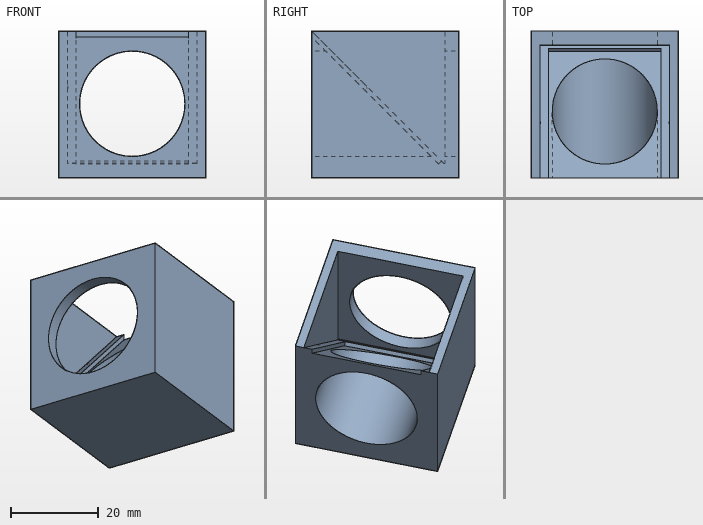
import cadquery as cq

width = 33.6
depth = 33.6
height = 33.5

side_wall = 2.0
back_wall = 3.2
opening_width = width - 2 * side_wall
opening_end = depth - back_wall
seat_lip = 0.17

recess_width = 25.65
recess_drop = 1.35
recess_end = 29.65

pit_width = 0.17
pit_length = 0.35
pit_depth = 0.17
pit_center = 12.67

bore_diameter = 24.0
bore_height = 16.95


def prism_along_x(outline, prism_width):
    """Extrude a Y-Z outline symmetrically about X = 0."""
    return cq.Workplane("YZ").polyline(outline).close().extrude(prism_width / 2, both=True)


def opening():
    """Space between the sloped seat and the back wall, with a stop face square to the slope."""
    seat_end = opening_end - seat_lip
    seat_foot = height - seat_end
    outline = [
        (0, height),
        (opening_end, height),
        (opening_end, seat_foot + seat_lip),
        (seat_end, seat_foot),
    ]
    return prism_along_x(outline, opening_width)


def seat_recess():
    """Parallel recess whose rear end is square to the slope."""
    end_run = recess_drop / 2
    floor_end = recess_end - end_run
    outline = [
        (0, height),
        (recess_end, height - recess_end),
        (floor_end, height - recess_drop - floor_end),
        (0, height - recess_drop),
    ]
    return prism_along_x(outline, recess_width)


def seat_pits():
    """Mirrored pair of pits sunk vertically into the seat."""
    seat_height = height - pit_center
    pit_offset = (opening_width - pit_width) / 2
    return (
        cq.Workplane("XY", origin=(0, pit_center, seat_height))
        .pushPoints([(-pit_offset, 0), (pit_offset, 0)])
        .box(pit_width, pit_length, 2 * (pit_depth + pit_length / 2))
    )


def bore():
    """Straight bore running the full depth."""
    return (
        cq.Workplane("XZ")
        .center(0, bore_height)
        .circle(bore_diameter / 2)
        .extrude(-depth)
    )


block = cq.Workplane("XY").box(width, depth, height, centered=(True, False, False))
result = block.cut(opening()).cut(seat_recess()).cut(seat_pits()).cut(bore())